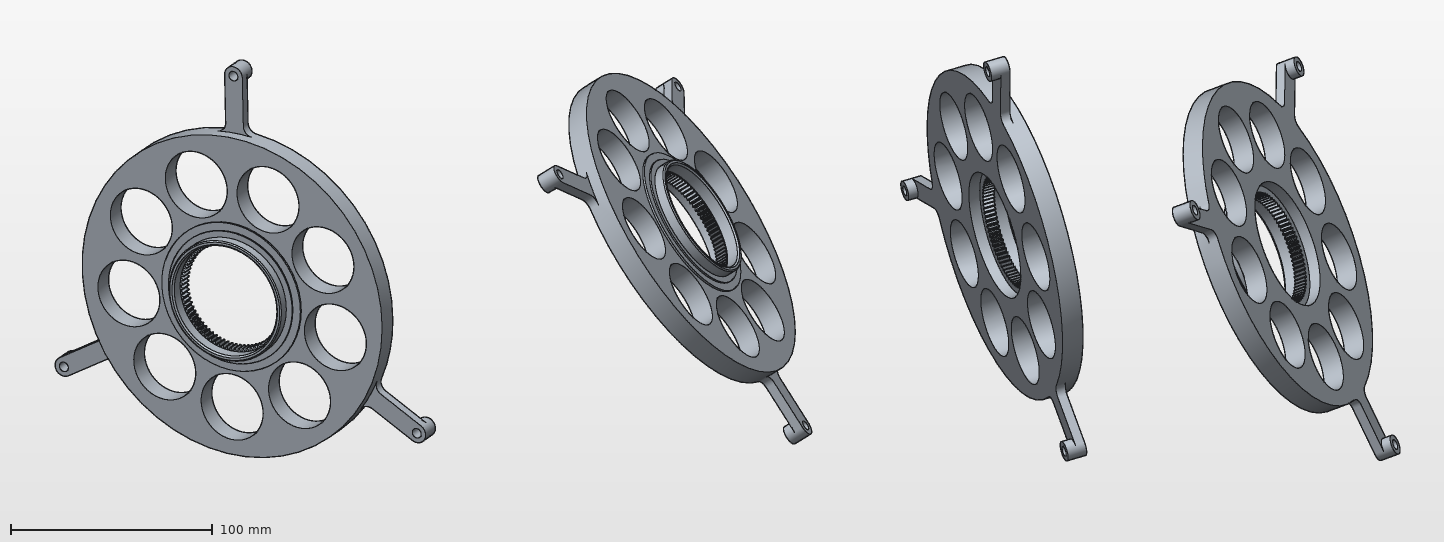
import cadquery as cq
import math

PIN_LENGTH = 10.0
PLATE_REAR = 5.0
PLATE_THICKNESS = 11.1
BOSS_HEIGHT = 1.0
FLANGE_HEIGHT = 0.8
TOTAL_DEPTH = 23.7

PLATE_DIAMETER = 170.0
BOSS_DIAMETER = 78.5
REAR_BORE_DIAMETER = 65.0
REAR_BORE_DEPTH = 5.9
WINDOW_DIAMETER = 35.0
WINDOW_COUNT = 9
WINDOW_CIRCLE_RADIUS = 59.4

ARM_COUNT = 3
FIRST_ARM_ANGLE = 91.3
PIN_CIRCLE_RADIUS = 115.5
PIN_DIAMETER = 10.0
PIN_HOLE_DIAMETER = 5.0
ARM_WIDTH = PIN_DIAMETER
ARM_FILLET = 5.0
ARM_EMBEDMENT = 4.2

FLANGE_DIAMETER = 70.0
HUB_DIAMETER = 63.5
HUB_CHAMFER = 0.6
BORE_CHAMFER = 0.8
FRONT_BORE_DEPTH = 7.0
TOOTH_COUNT = 75
TOOTH_ROOT_DIAMETER = 58.1
TOOTH_TIP_DIAMETER = 54.8
FIRST_TOOTH_ANGLE = 0.3

SPACE_ROOT_SHARE = 0.12
SPACE_TIP_SHARE = 0.38

SEAT_REAR = PLATE_REAR + REAR_BORE_DEPTH
PLATE_FRONT = PLATE_REAR + PLATE_THICKNESS
BOSS_FRONT = PLATE_FRONT + BOSS_HEIGHT
FLANGE_FRONT = BOSS_FRONT + FLANGE_HEIGHT
TEETH_FRONT = TOTAL_DEPTH - FRONT_BORE_DEPTH


def plane_at(station):
    """XZ sketch plane at a station; extruding from it runs forwards, towards -Y."""
    return cq.Workplane("XZ", origin=(0, -station, 0))


def disc(diameter, rear, front, center=(0, 0)):
    """Round disc along Y between two stations, centred on an (x, z) point."""
    return plane_at(rear).center(*center).circle(diameter / 2).extrude(front - rear)


def polar(radius, angle):
    """(x, z) point at an angle in degrees from +X towards +Z."""
    return (radius * math.cos(math.radians(angle)), radius * math.sin(math.radians(angle)))


def turned(shape, angle):
    """Copy turned about the Y axis, from +X towards +Z."""
    return shape.rotate((0, 0, 0), (0, -1, 0), angle)


def make_arm():
    """One arm along +X, with filleted roots at the plate rim and a drilled pin at its end."""
    rim_radius = PLATE_DIAMETER / 2
    half_width = ARM_WIDTH / 2

    fillet_center_z = half_width + ARM_FILLET
    fillet_center_x = math.sqrt((rim_radius + ARM_FILLET) ** 2 - fillet_center_z**2)
    rim_share = rim_radius / (rim_radius + ARM_FILLET)
    rim_x = fillet_center_x * rim_share
    rim_z = fillet_center_z * rim_share

    bar = (
        plane_at(PLATE_REAR)
        .moveTo(rim_x - ARM_EMBEDMENT, rim_z)
        .lineTo(rim_x, rim_z)
        .radiusArc((fillet_center_x, half_width), -ARM_FILLET)
        .lineTo(PIN_CIRCLE_RADIUS, half_width)
        .lineTo(PIN_CIRCLE_RADIUS, -half_width)
        .lineTo(fillet_center_x, -half_width)
        .radiusArc((rim_x, -rim_z), -ARM_FILLET)
        .lineTo(rim_x - ARM_EMBEDMENT, -rim_z)
        .close()
        .extrude(PIN_LENGTH - PLATE_REAR)
    )
    pin_center = (PIN_CIRCLE_RADIUS, 0)
    pin = disc(PIN_DIAMETER, 0, PIN_LENGTH, pin_center)
    pin_hole = disc(PIN_HOLE_DIAMETER, 0, PIN_LENGTH, pin_center)
    return bar.union(pin).cut(pin_hole)


def make_plate():
    plate = disc(PLATE_DIAMETER, PLATE_REAR, PLATE_FRONT)
    plate = plate.union(disc(BOSS_DIAMETER, PLATE_FRONT, BOSS_FRONT))

    arm = make_arm()
    for index in range(ARM_COUNT):
        plate = plate.union(turned(arm, FIRST_ARM_ANGLE + index * 360 / ARM_COUNT))

    window = disc(WINDOW_DIAMETER, PLATE_REAR, PLATE_FRONT, (0, -WINDOW_CIRCLE_RADIUS))
    for index in range(WINDOW_COUNT):
        plate = plate.cut(turned(window, index * 360 / WINDOW_COUNT))

    plate = plate.cut(disc(FLANGE_DIAMETER, SEAT_REAR, BOSS_FRONT))
    return plate.cut(disc(REAR_BORE_DIAMETER, PLATE_REAR, SEAT_REAR))


def toothed_bore_outline():
    """Corners of the toothed bore: each tooth space has straight flanks and a flat root."""
    pitch = 360 / TOOTH_COUNT
    tip_radius = TOOTH_TIP_DIAMETER / 2
    root_radius = TOOTH_ROOT_DIAMETER / 2
    points = []
    for index in range(TOOTH_COUNT):
        space_angle = FIRST_TOOTH_ANGLE + (index + 0.5) * pitch
        points.append(polar(tip_radius, space_angle - SPACE_TIP_SHARE * pitch))
        points.append(polar(root_radius, space_angle - SPACE_ROOT_SHARE * pitch))
        points.append(polar(root_radius, space_angle + SPACE_ROOT_SHARE * pitch))
        points.append(polar(tip_radius, space_angle + SPACE_TIP_SHARE * pitch))
    return points


def make_ring_gear():
    seated_flange = disc(FLANGE_DIAMETER, SEAT_REAR, FLANGE_FRONT)
    hub = disc(HUB_DIAMETER, FLANGE_FRONT, TOTAL_DEPTH).faces("<Y").chamfer(HUB_CHAMFER)
    ring = seated_flange.union(hub)

    ring = ring.cut(disc(TOOTH_ROOT_DIAMETER, TEETH_FRONT, TOTAL_DEPTH))
    ring = ring.faces("<Y").edges(cq.selectors.RadiusNthSelector(0)).chamfer(BORE_CHAMFER)

    outline = plane_at(SEAT_REAR).polyline(toothed_bore_outline()).close()
    return ring.cut(outline.extrude(TEETH_FRONT - SEAT_REAR))


plate = make_plate()
ring_gear = make_ring_gear()

result = cq.Compound.makeCompound([plate.solids().val(), ring_gear.solids().val()])